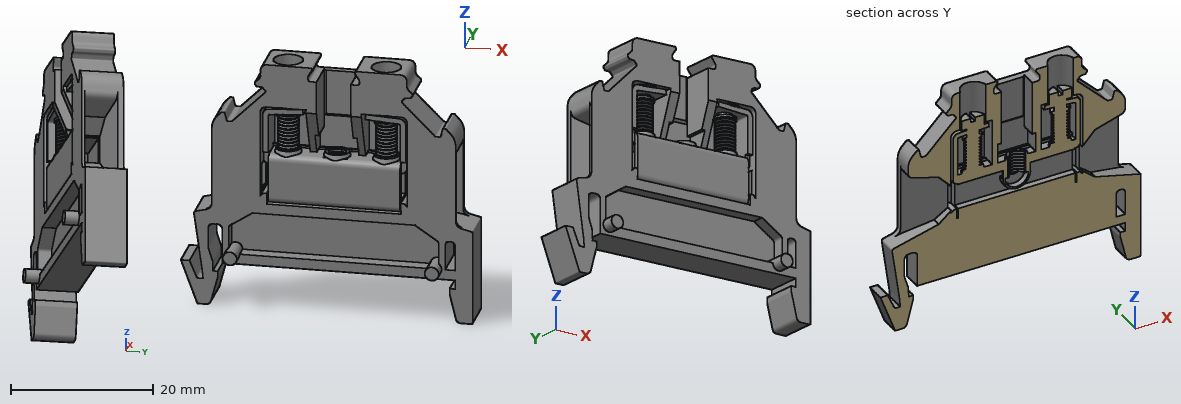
import cadquery as cq
import math


depth = 6.0
top_z = 36.8
base_z = 6.4
gap_floor_z = 34.75
half_width = 17.5
left_reach = 21.95
right_reach = 19.95
latch_top_x = 20.1
shoulder_z = 14.5
shoulder_slope = 0.25
rail_slot_top_z = 12.2
rail_slot_x = 16.0
rail_slot_outer_x = 17.45
rail_hook_z = 5.1
rail_hook_x = 16.65
foot_taper_z = 4.27

pin_diameter = 2.0
pin_length = 2.0
pin_x = 14.5
recess_depth = 2.0
recess_z = 7.9
recess_top_z = 14.3
recess_half_width = 15.1

chamber_half_width = 10.55
chamber_top_z = 30.4
chamber_back_y = 5.3
window_bottom_z = 17.4
window_top_z = 21.35
window_front_y = 1.0
window_back_y = 3.95
slot_half_width = 2.47
slot_lower_half_width = 3.0
slot_step_z = 26.05
partition_x = 4.0
partition_slope_top_z = 29.95
partition_setback = 2.95
panel_bottom_z = 27.82

block_half_length = 9.45
block_front_y = 0.2
block_back_y = 4.9
block_bottom_z = 15.8
block_top_z = 23.05
block_round = 0.92
axis_y = (block_front_y + block_back_y) / 2
screw_x = 7.05
collar_height = 0.55
collar_sink = 0.2
collar_diameter = 3.4
collar_base_diameter = 4.0
thread_diameter = 3.0
thread_core_diameter = 2.3
thread_pitch = 0.5
thread_crest = 0.13
tapped_diameter = 2.5
head_bore_diameter = 4.2
head_diameter = 3.8
head_bottom_z = 30.15
head_height = 1.68
driver_slot_width = 0.6
driver_slot_depth = 0.63
washer_bottom_z = 28.55
washer_thickness = 0.35
trough_radius = 2.2
trough_wall = 0.38
trough_axis_z = 19.95
clip_front_y = 0.38
clip_back_y = 4.75
clip_outer_x = 10.25
clip_foot_z = 21.5
clip_foot_rise = 0.2
clip_step_z = 23.45
clip_arm_end_x = 4.53


def corner_arc(before, corner, after, radius):
    """Start, middle and end of the arc that rounds one corner of an outline."""
    to_before = cq.Vector(before[0] - corner[0], before[1] - corner[1]).normalized()
    to_after = cq.Vector(after[0] - corner[0], after[1] - corner[1]).normalized()
    half_angle = to_before.getAngle(to_after) / 2
    vertex = cq.Vector(corner[0], corner[1])
    bisector = (to_before + to_after).normalized()
    setback = radius / math.tan(half_angle)
    middle = vertex + bisector * (radius / math.sin(half_angle) - radius)
    return [p.toTuple()[:2] for p in (vertex + to_before * setback, middle, vertex + to_after * setback)]


def plate(corners, front_y, back_y):
    """Extrude an XZ outline along Y. Each corner is (x, z) or (x, z, rounding radius)."""
    wire = None
    for i, corner in enumerate(corners):
        points = [corner[:2]]
        if len(corner) == 3:
            points = corner_arc(corners[i - 1], corner, corners[(i + 1) % len(corners)], corner[2])
        if wire is None:
            wire = cq.Workplane("XZ", origin=(0, front_y, 0)).moveTo(*points[0])
        else:
            wire = wire.lineTo(*points[0])
        if len(points) == 3:
            wire = wire.threePointArc(points[1], points[2])
    return wire.close().extrude(front_y - back_y)


def mirrored(corners):
    """The outline reflected in X = 0, in reverse order."""
    return [(-corner[0], *corner[1:]) for corner in reversed(corners)]


def both_sides(solid):
    return solid.union(solid.mirror("YZ"))


def box(x_range, y_range, z_range):
    size = [high - low for low, high in (x_range, y_range, z_range)]
    corner = (x_range[0], y_range[0], z_range[0])
    return cq.Workplane("XY", origin=corner).box(*size, centered=False)


def rod(x, z_bottom, z_top, diameter):
    base = cq.Workplane("XY", origin=(x, axis_y, z_bottom))
    return base.circle(diameter / 2).extrude(z_top - z_bottom)


def shoulder_height(x):
    """Height of the sloping shoulder plane, which also floors the conductor funnels."""
    return shoulder_z - shoulder_slope * (x - half_width)


def housing_shell():
    roof = [
        (3.7, gap_floor_z, 0.38),
        (3.7, 35.5, 0.35),
        (3.0, 36.45, 0.05),
        (3.1, top_z, 0.35),
        (10.5, top_z, 0.92),
        (10.5, 34.78, 0.85),
        (11.45, 33.9, 0.25),
        (11.05, 33.4, 0.2),
        (10.25, 33.35, 0.35),
        (9.7, 32.72, 0.2),
        (14.62, 27.85, 0.13),
        (15.35, 27.85, 0.2),
        (15.65, 29.15, 0.15),
        (16.1, 29.15, 0.13),
        (half_width, 27.75, 2.72),
        (half_width, shoulder_height(half_width), 1.1),
    ]
    right_foot = [
        (right_reach, shoulder_height(right_reach), 0.15),
        (right_reach, 0, 0.15),
        (17.7, 0, 0.75),
        (rail_hook_x, foot_taper_z),
        (rail_hook_x, rail_hook_z),
        (rail_slot_outer_x, rail_hook_z),
        (rail_slot_outer_x, base_z),
    ]
    left_foot = [
        (-rail_slot_x, base_z),
        (-rail_slot_x, rail_slot_top_z, 0.7),
        (-18.0, rail_slot_top_z, 0.7),
        (-18.0, 8.55, 2.1),
        (-17.4, 6.6),
        (-17.35, rail_hook_z),
        (-rail_hook_x, rail_hook_z),
        (-rail_hook_x, foot_taper_z),
        (-17.75, 0, 0.75),
        (-19.55, 0, 0.15),
        (-left_reach, base_z),
        (-20.7, base_z),
        (-19.6, 3.85, 0.4),
        (-18.77, 3.85),
        (-18.85, 5.03),
        (-latch_top_x, shoulder_height(latch_top_x), 0.38),
    ]
    shell = plate(left_foot + mirrored(roof) + roof + right_foot, 0, depth)

    closed_slot = [
        (rail_slot_x, recess_z),
        (rail_slot_outer_x, recess_z),
        (rail_slot_outer_x, rail_slot_top_z, 0.63),
        (rail_slot_x, rail_slot_top_z, 0.63),
    ]
    return shell.cut(plate(closed_slot, 0, depth))


def front_recess():
    half = [
        (recess_half_width, recess_z),
        (recess_half_width, 12.03, 0.5),
        (11.65, recess_top_z),
    ]
    return plate(half + mirrored(half), 0, recess_depth)


def pins():
    faces = cq.Workplane("XZ", origin=(0, -pin_length, 0))
    centres = [(-pin_x, recess_z), (pin_x, recess_z)]
    return faces.pushPoints(centres).circle(pin_diameter / 2).extrude(-pin_length - recess_depth)


def conductor_funnel():
    """Opening in the right side that narrows in height and width towards the block."""
    mouth_x = 18.65
    throat_x = 10.55
    knee_x = 12.55
    ceiling_z = 25.0
    lip = 1.05
    height = [
        (mouth_x, shoulder_height(mouth_x)),
        (knee_x, shoulder_height(knee_x)),
        (throat_x, window_bottom_z),
        (block_half_length, window_bottom_z),
        (block_half_length, window_top_z),
        (throat_x, window_top_z),
        (knee_x, 23.55),
        (half_width, ceiling_z, lip),
        (half_width, ceiling_z + lip),
        (mouth_x, ceiling_z + lip),
    ]
    mouth_front_y = 0.4
    mouth_back_y = 5.1
    width = (
        cq.Workplane("XY")
        .moveTo(block_half_length, window_front_y)
        .lineTo(throat_x, window_front_y)
        .lineTo(half_width, mouth_front_y)
        .lineTo(mouth_x, mouth_front_y)
        .lineTo(mouth_x, mouth_back_y)
        .lineTo(half_width, mouth_back_y)
        .lineTo(throat_x, window_back_y)
        .lineTo(block_half_length, window_back_y)
        .close()
        .extrude(top_z)
    )
    return plate(height, 0, depth).intersect(width)


def chamber():
    """Space for the block, the two screw bays and the stepped middle slot."""
    bay = [
        (partition_x, block_top_z),
        (partition_x, chamber_top_z),
        (chamber_half_width, chamber_top_z, 0.92),
        (chamber_half_width, block_top_z),
    ]
    cradle = [
        (9.65, block_bottom_z),
        (9.65, window_bottom_z),
        (10.15, window_bottom_z, 0.35),
        (chamber_half_width, 16.95),
        (chamber_half_width, block_top_z),
    ]
    space = both_sides(plate(bay, 0, chamber_back_y))
    space = space.union(plate(cradle + mirrored(cradle), 0, block_back_y))

    slot = [
        (slot_lower_half_width, block_top_z),
        (slot_lower_half_width, slot_step_z),
        (slot_half_width, slot_step_z),
        (slot_half_width, gap_floor_z),
    ]
    space = space.union(plate(slot + mirrored(slot), 0, chamber_back_y))

    lean = (
        cq.Workplane("YZ", origin=(-partition_x, 0, 0))
        .moveTo(0, partition_slope_top_z)
        .lineTo(partition_setback, block_top_z)
        .lineTo(0, block_top_z)
        .close()
        .extrude(2 * partition_x)
    )
    return space.union(lean)


def back_panel():
    """Raised panel on the back wall of the middle slot, bevelled on both sides and below."""
    thickness = chamber_back_y - block_back_y
    panel = box(
        (-slot_half_width, slot_half_width),
        (block_back_y, chamber_back_y + thickness),
        (panel_bottom_z, gap_floor_z),
    )
    return panel.faces("<Y").edges("|Z or <Z").chamfer(thickness)


def threaded_rod(x, z_bottom, turns, root_diameter, crest_diameter):
    """Rod with a stack of flat-topped ridges."""
    root = root_diameter / 2
    crest = crest_diameter / 2
    profile = cq.Workplane("XZ", origin=(x, axis_y, 0)).moveTo(0, z_bottom).lineTo(root, z_bottom)
    for turn in range(turns):
        ridge_z = z_bottom + turn * thread_pitch
        profile = profile.lineTo(crest, ridge_z + thread_pitch / 2 - thread_crest / 2)
        profile = profile.lineTo(crest, ridge_z + thread_pitch / 2 + thread_crest / 2)
        profile = profile.lineTo(root, ridge_z + thread_pitch)
    profile = profile.lineTo(0, z_bottom + turns * thread_pitch).close()
    return profile.revolve(360, (0, 0, 0), (0, 1, 0))


def terminal_block():
    ends = (-block_half_length, block_half_length)
    block = box(ends, (block_front_y, block_back_y), (block_bottom_z, block_top_z))
    block = block.edges("|X").fillet(block_round)
    bore_width = (window_front_y, window_back_y)
    block = block.cut(box(ends, bore_width, (window_bottom_z, window_top_z)))
    neck = rod(0, trough_axis_z, block_top_z, 2 * trough_radius)
    block = block.union(neck.intersect(box(ends, bore_width, (trough_axis_z, block_top_z))))

    for x in (-screw_x, 0, screw_x):
        collar = cq.Workplane("XY", origin=(x, axis_y, block_top_z - collar_sink))
        collar = collar.circle(collar_base_diameter / 2)
        collar = collar.workplane(offset=collar_sink + collar_height)
        block = block.union(collar.circle(collar_diameter / 2).loft())

    collar_top_z = block_top_z + collar_height
    turns = math.ceil((collar_top_z - trough_axis_z) / thread_pitch)
    tapped_bottom_z = collar_top_z - turns * thread_pitch
    block = block.cut(threaded_rod(0, tapped_bottom_z, turns, tapped_diameter, thread_diameter))

    trough = (
        cq.Workplane("XZ", origin=(0, window_front_y, 0))
        .moveTo(-trough_radius, trough_axis_z)
        .threePointArc((0, trough_axis_z - trough_radius), (trough_radius, trough_axis_z))
        .lineTo(trough_radius - trough_wall, trough_axis_z)
        .threePointArc(
            (0, trough_axis_z - trough_radius + trough_wall),
            (trough_wall - trough_radius, trough_axis_z),
        )
        .close()
        .extrude(window_front_y - window_back_y)
    )
    return block.union(trough)


def clamping_screw():
    """Slotted screw on the right side, from the block up to the head in the tower."""
    thread_bottom_z = block_top_z + collar_height
    turns = math.ceil((washer_bottom_z - thread_bottom_z) / thread_pitch)
    head_top_z = head_bottom_z + head_height
    screw = threaded_rod(screw_x, thread_bottom_z, turns, thread_core_diameter, thread_diameter)
    washer_top_z = washer_bottom_z + washer_thickness
    screw = screw.union(rod(screw_x, washer_bottom_z, washer_top_z, collar_diameter))
    screw = screw.union(rod(screw_x, washer_bottom_z, head_bottom_z, thread_core_diameter))
    head = rod(screw_x, head_bottom_z, head_top_z, head_diameter)
    driver_slot = box(
        (screw_x - driver_slot_width / 2, screw_x + driver_slot_width / 2),
        (0, depth),
        (head_top_z - driver_slot_depth, head_top_z),
    )
    return screw.union(head.cut(driver_slot))


def spring_clip():
    """Bent strip on the right side: narrow foot against the block, leg, and arm around the screw."""
    foot = [
        (block_half_length, clip_foot_z),
        (clip_outer_x, clip_foot_z + clip_foot_rise, 0.63),
        (clip_outer_x, clip_step_z),
        (block_half_length, clip_step_z),
    ]
    leg_and_arm = [
        (block_half_length, clip_step_z),
        (clip_outer_x, clip_step_z),
        (clip_outer_x, 29.95, 0.92),
        (clip_arm_end_x, 30.25),
        (clip_arm_end_x - 0.1, 29.5),
        (block_half_length, 29.15, 0.3),
    ]
    clip = plate(leg_and_arm, clip_front_y, clip_back_y)
    return clip.union(plate(foot, window_front_y, window_back_y))


housing = housing_shell().cut(front_recess()).union(pins())
housing = housing.cut(both_sides(conductor_funnel())).cut(chamber()).union(back_panel())
housing = housing.cut(both_sides(rod(screw_x, chamber_top_z, top_z, head_bore_diameter)))

metal_parts = terminal_block()
metal_parts = metal_parts.union(both_sides(clamping_screw())).union(both_sides(spring_clip()))

result = housing.union(metal_parts)